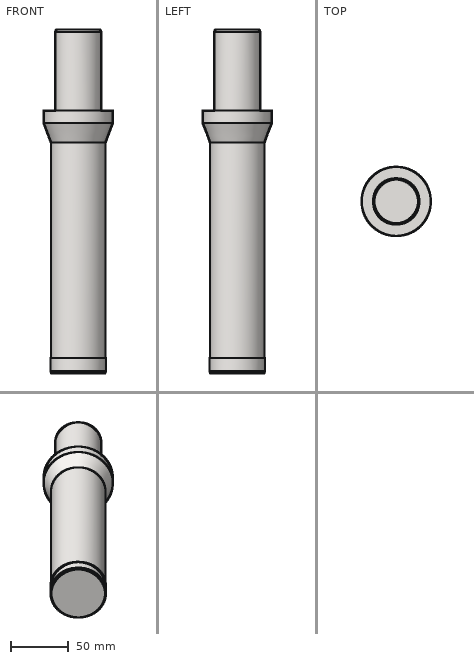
import cadquery as cq

total_length = 297.0
spigot_diameter = 40.0
spigot_length = 70.0
collar_diameter = 60.0
collar_height = 10.7
cone_height = 17.0
shank_diameter = 47.2
cap_diameter = 48.0
cap_height = 13.5
spigot_chamfer_height = 2.0
spigot_chamfer_inset = 1.2
cap_chamfer_height = 1.8
cap_chamfer_inset = 1.0

collar_top = total_length - spigot_length
collar_bottom = collar_top - collar_height
cone_bottom = collar_bottom - cone_height


def make_post():
    """Turned post: shank, flared collar and chamfered spigot."""
    spigot_radius = spigot_diameter / 2
    collar_radius = collar_diameter / 2
    shank_radius = shank_diameter / 2
    return (
        cq.Workplane("XZ")
        .moveTo(0, cap_height)
        .lineTo(shank_radius, cap_height)
        .lineTo(shank_radius, cone_bottom)
        .lineTo(collar_radius, collar_bottom)
        .lineTo(collar_radius, collar_top)
        .lineTo(spigot_radius, collar_top)
        .lineTo(spigot_radius, total_length - spigot_chamfer_height)
        .lineTo(spigot_radius - spigot_chamfer_inset, total_length)
        .lineTo(0, total_length)
        .close()
        .revolve(360, (0, 0), (0, 1))
    )


def make_end_cap():
    """Slightly wider disc under the shank, chamfered at its bottom edge."""
    cap_radius = cap_diameter / 2
    return (
        cq.Workplane("XZ")
        .moveTo(0, 0)
        .lineTo(cap_radius - cap_chamfer_inset, 0)
        .lineTo(cap_radius, cap_chamfer_height)
        .lineTo(cap_radius, cap_height)
        .lineTo(0, cap_height)
        .close()
        .revolve(360, (0, 0), (0, 1))
    )


post = make_post()
end_cap = make_end_cap()
result = cq.Compound.makeCompound([post.val(), end_cap.val()])